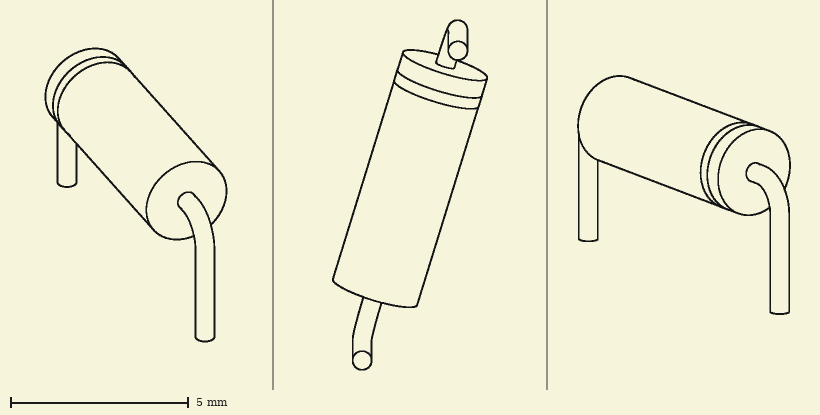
import cadquery as cq

overall_length = 9.83
overall_height = 5.03

housing_diameter = 2.49
housing_length = 6.8
band_diameter = 2.5
band_inner_diameter = 2.4
band_width = 0.32
band_offset = 0.52

lead_diameter = 0.54
bend_radius = 0.92

axis_height = overall_height - band_diameter / 2
housing_end = housing_length / 2
lead_x = (overall_length - lead_diameter) / 2
bend_start_x = lead_x - bend_radius
bend_end_z = axis_height - bend_radius
band_start_x = band_offset - housing_end


def cylinder_on_axis(start_x, length, diameter):
    """Cylinder on the housing axis, running toward +X from start_x."""
    return (
        cq.Workplane("YZ", origin=(start_x, 0, axis_height))
        .circle(diameter / 2)
        .extrude(length)
    )


def make_band():
    outside = cylinder_on_axis(band_start_x, band_width, band_diameter)
    bore = cylinder_on_axis(band_start_x, band_width, band_inner_diameter)
    return outside.cut(bore).solids()


def make_housing(band):
    """Round housing with a groove that the band fills."""
    return cylinder_on_axis(-housing_end, housing_length, housing_diameter).cut(band).solids()


def make_lead(side):
    """Lead from the housing end face, bent down; side is -1 or 1 along X."""
    stub = cylinder_on_axis(side * housing_end, side * (bend_start_x - housing_end), lead_diameter)
    bend = (
        cq.Workplane("XY", origin=(side * lead_x, 0, bend_end_z))
        .circle(lead_diameter / 2)
        .revolve(90, (-side * bend_radius, 0), (-side * bend_radius, -side))
    )
    leg = (
        cq.Workplane("XY", origin=(side * lead_x, 0, 0))
        .circle(lead_diameter / 2)
        .extrude(bend_end_z)
    )
    return stub.union(bend).union(leg).solids()


band = make_band()
housing = make_housing(band)
leads = [make_lead(side) for side in (-1, 1)]

result = cq.Compound.makeCompound([housing.val(), band.val(), *[lead.val() for lead in leads]])